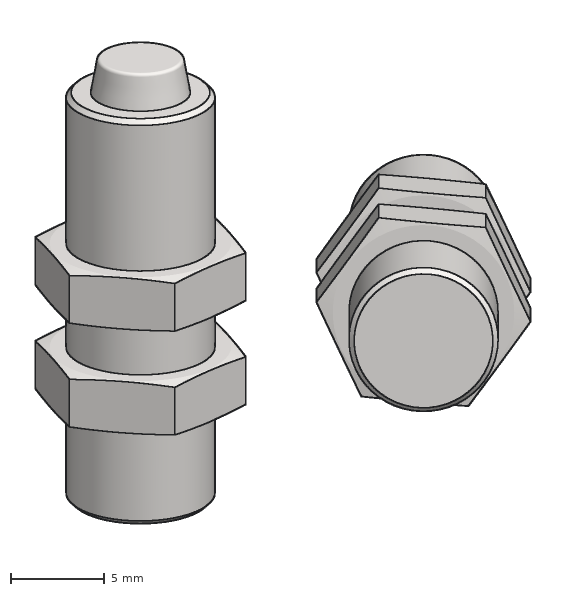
import cadquery as cq
import math

total_height = 25.5
tip_height = 2.01
barrel_height = total_height - tip_height

barrel_diameter = 8.0
barrel_chamfer = 0.28

tip_base_diameter = 5.35
tip_top_diameter = 4.65
tip_edge_radius = 0.2

hex_sides = 6
hex_half_angle = 180 / hex_sides
nut_across_flats = 10.0
nut_across_corners = nut_across_flats / math.cos(math.radians(hex_half_angle))
nut_thickness = 3.0
nut_face_diameter = 9.75
nut_chamfer_angle = 8.0
lower_nut_bottom = 5.75
nut_pitch = 2 * nut_thickness
nut_count = 2


def make_plunger():
    """Chamfered barrel carrying the tapered tip on its upper end."""
    barrel = cq.Workplane("XY").circle(barrel_diameter / 2).extrude(barrel_height)
    barrel = barrel.faces("<Z or >Z").chamfer(barrel_chamfer)
    tip = (
        cq.Workplane("XY", origin=(0, 0, barrel_height))
        .circle(tip_base_diameter / 2)
        .workplane(offset=tip_height)
        .circle(tip_top_diameter / 2)
        .loft()
        .faces(">Z")
        .edges()
        .fillet(tip_edge_radius)
    )
    return barrel.union(tip)


def make_nut(bottom):
    """Hexagonal nut with conical corner chamfers, two of its flats facing +X and -X."""
    hexagon = (
        cq.Workplane("XY")
        .polygon(hex_sides, nut_across_corners)
        .extrude(nut_thickness)
        .rotate((0, 0, 0), (0, 0, 1), hex_half_angle)
    )
    face_radius = nut_face_diameter / 2
    corner_radius = nut_across_corners / 2
    corner_drop = (corner_radius - face_radius) * math.tan(math.radians(nut_chamfer_angle))
    chamfer_envelope = (
        cq.Workplane("XZ")
        .moveTo(0, 0)
        .lineTo(face_radius, 0)
        .lineTo(corner_radius, corner_drop)
        .lineTo(corner_radius, nut_thickness - corner_drop)
        .lineTo(face_radius, nut_thickness)
        .lineTo(0, nut_thickness)
        .close()
        .revolve(360, (0, 0, 0), (0, 1, 0))
    )
    bore = cq.Workplane("XY").circle(barrel_diameter / 2).extrude(nut_thickness)
    return hexagon.intersect(chamfer_envelope).cut(bore).translate((0, 0, bottom))


plunger = make_plunger()
nuts = [make_nut(lower_nut_bottom + i * nut_pitch) for i in range(nut_count)]

result = cq.Compound.makeCompound([plunger.val(), *[nut.val() for nut in nuts]])